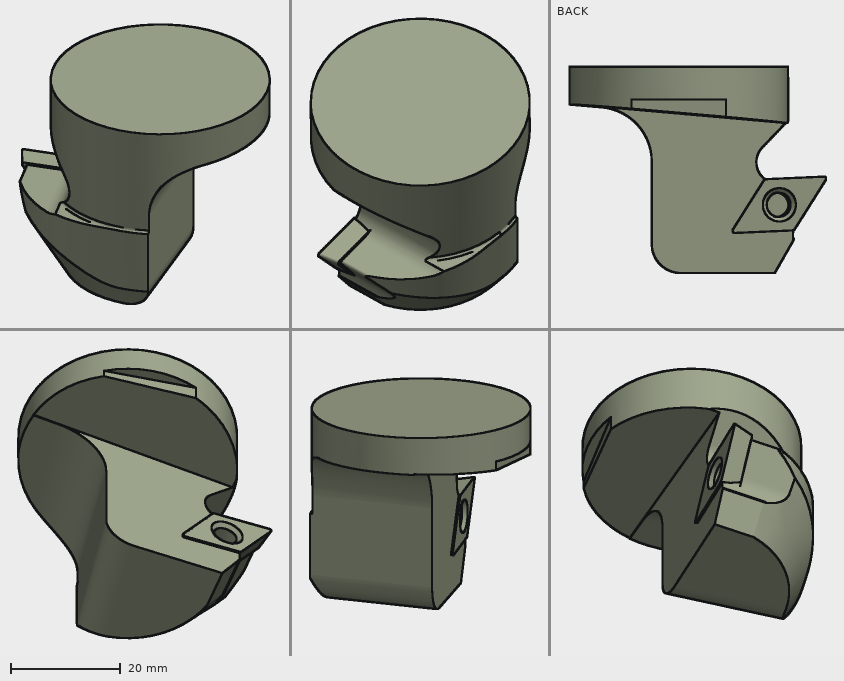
import cadquery as cq
import math

RAKE_TURN = 8.0
RELIEF_TILT = 5.0
REACH = 56.25

SHANK_RADIUS = 40.0 / 2
HEIGHT = 37.7
RAKE_V = 3.37
BACK_WALL_X = 4.95
NECK_RADIUS = 9.85
TOE_RADIUS = 5.35
NECK_TOP_Z = -6.95
BACK_TOP_Z = -8.62
NOTCH_Y = 18.05
NOTCH_Z = -6.0

JAW_TOP_Z = -20.85
JAW_RADIUS = 20.5
NOSE_X = -5.62
SEAT_EDGE_FILLET = 0.4
STEP_FILLET = JAW_RADIUS - SHANK_RADIUS
CONE_ANGLE = 30.0
TOE_CONE_RADIUS = 17.75
TOE_FLANK_U = -17.2

GULLET_RADIUS = 3.85
GULLET_U = -17.65
GULLET_Z = -17.45
GULLET_ANGLE = 44.0
SEAT_TILT = 2.4

FLANK_U = -25.2
FLANK_Z = -21.1
GROOVE_TOP_Z = -27.75
GROOVE_END_U = -20.6
GROOVE_END_Z = -31.5

INSERT_TIP_U = -27.0
INSERT_TIP_Z = -20.0
INSERT_SIDE = 11.7
INSERT_ANGLE = 55.0
INSERT_TILT = 2.5
INSERT_THICKNESS = 3.9
INSERT_CLEARANCE = 7.0
INSERT_CORNER = 0.4
INSERT_PROUD = 0.35
SCREW_HOLE = 4.4
SCREW_SINK = 6.1


def polar(length, degrees):
    angle = math.radians(degrees)
    return length * math.cos(angle), length * math.sin(angle)


def shifted(point, length, degrees):
    du, dz = polar(length, degrees)
    return point[0] + du, point[1] + dz


def turned(body):
    """Turn a body from the rake frame into place."""
    return body.rotate((0, 0, 0), (0, 0, 1), RAKE_TURN)


def through(sketch):
    """Extrude an XZ outline both ways, right through the head."""
    return sketch.extrude(REACH, both=True)


def make_shank():
    shank = cq.Workplane("XY").workplane(offset=JAW_TOP_Z).circle(SHANK_RADIUS).extrude(-JAW_TOP_Z)
    step = (
        cq.Workplane("XZ")
        .moveTo(0, JAW_TOP_Z)
        .lineTo(JAW_RADIUS, JAW_TOP_Z)
        .radiusArc((SHANK_RADIUS, JAW_TOP_Z + STEP_FILLET), STEP_FILLET)
        .lineTo(0, JAW_TOP_Z + STEP_FILLET)
        .close()
        .revolve(360, (0, 0), (0, 1))
    )
    return shank.union(step)


def front_flank():
    """Space outside the plane flank that cuts across the cone."""
    foot = (TOE_FLANK_U, -HEIGHT)
    return turned(through(
        cq.Workplane("XZ")
        .moveTo(*shifted(foot, REACH, -90 + CONE_ANGLE))
        .lineTo(*shifted(foot, REACH, 90 + CONE_ANGLE))
        .lineTo(-REACH, -REACH)
        .close()
    ))


def make_jaw():
    diagonal = math.sqrt(0.5)
    wall = (
        cq.Workplane("XY")
        .workplane(offset=-HEIGHT)
        .moveTo(NOSE_X - JAW_RADIUS, JAW_RADIUS)
        .lineTo(NOSE_X - JAW_RADIUS, 0)
        .threePointArc(
            (NOSE_X - JAW_RADIUS * diagonal, -JAW_RADIUS * diagonal), (NOSE_X, -JAW_RADIUS)
        )
        .lineTo(0, -JAW_RADIUS)
        .threePointArc((JAW_RADIUS * diagonal, -JAW_RADIUS * diagonal), (JAW_RADIUS, 0))
        .lineTo(JAW_RADIUS, JAW_RADIUS)
        .close()
        .extrude(HEIGHT + JAW_TOP_Z)
    )
    rise = HEIGHT + JAW_TOP_Z
    spread = rise * math.tan(math.radians(CONE_ANGLE))
    cone = cq.Workplane(
        cq.Solid.makeCone(TOE_CONE_RADIUS, TOE_CONE_RADIUS + spread, rise, cq.Vector(0, 0, -HEIGHT))
    )
    return wall.intersect(cone).cut(front_flank())


def back_clearance():
    """Space on the +X side: rounded toe, upright wall, rounded neck and tilted underside."""
    slope = math.tan(math.radians(RELIEF_TILT))
    neck_x = BACK_WALL_X + NECK_RADIUS
    neck_z = (
        NECK_TOP_Z + slope * (neck_x - SHANK_RADIUS) - NECK_RADIUS / math.cos(math.radians(RELIEF_TILT))
    )
    neck_end = shifted((neck_x, neck_z), NECK_RADIUS, 90 + RELIEF_TILT)
    toe_x = BACK_WALL_X - TOE_RADIUS
    return through(
        cq.Workplane("XZ")
        .moveTo(BACK_WALL_X, neck_z)
        .threePointArc(shifted((neck_x, neck_z), NECK_RADIUS, 135), neck_end)
        .lineTo(*shifted(neck_end, REACH, RELIEF_TILT))
        .lineTo(REACH, -REACH)
        .lineTo(toe_x, -REACH)
        .lineTo(toe_x, -HEIGHT)
        .threePointArc(
            shifted((toe_x, TOE_RADIUS - HEIGHT), TOE_RADIUS, -45), (BACK_WALL_X, TOE_RADIUS - HEIGHT)
        )
        .close()
    )


def rake_clearance():
    """Space in front of the rake face, below the tilted underside."""
    rise = REACH * math.tan(math.radians(RELIEF_TILT))
    outline = (
        cq.Workplane("XZ", origin=(0, RAKE_V, 0))
        .moveTo(-REACH, BACK_TOP_Z - rise)
        .lineTo(REACH, BACK_TOP_Z + rise)
        .lineTo(REACH, -REACH)
        .lineTo(-REACH, -REACH)
        .close()
    )
    return turned(outline.extrude(-REACH))


def rim_notch():
    return cq.Workplane("XY").box(REACH, REACH, REACH, centered=(True, False, False)).translate(
        (0, NOTCH_Y, NOTCH_Z - REACH)
    )


def gullet():
    center = (GULLET_U, GULLET_Z)
    seat_end = shifted(center, GULLET_RADIUS, -90 - SEAT_TILT)
    slope_end = shifted(center, GULLET_RADIUS, GULLET_ANGLE)
    return turned(through(
        cq.Workplane("XZ")
        .moveTo(*shifted(seat_end, REACH, 180 - SEAT_TILT))
        .lineTo(*seat_end)
        .threePointArc(shifted(center, GULLET_RADIUS, -GULLET_ANGLE / 2), slope_end)
        .lineTo(*shifted(slope_end, REACH, 90 + GULLET_ANGLE))
        .close()
    ))


def flank_recess():
    """Set-back flank below the insert, ending in a round groove."""
    groove_u = FLANK_U + (FLANK_Z - GROOVE_TOP_Z) * math.tan(math.radians(CONE_ANGLE))
    groove_top = (groove_u, GROOVE_TOP_Z)
    return turned(through(
        cq.Workplane("XZ")
        .moveTo(*shifted(groove_top, REACH, 90 + CONE_ANGLE))
        .lineTo(*groove_top)
        .tangentArcPoint((GROOVE_END_U, GROOVE_END_Z), relative=False)
        .lineTo(-REACH, GROOVE_END_Z)
        .close()
    ))


INSERT_TIP = (INSERT_TIP_U, INSERT_TIP_Z)
INSERT_TOP_END = shifted(INSERT_TIP, INSERT_SIDE, -INSERT_TILT)
INSERT_LOW_END = shifted(INSERT_TIP, INSERT_SIDE, -INSERT_TILT - INSERT_ANGLE)
INSERT_FAR_END = shifted(INSERT_LOW_END, INSERT_SIDE, -INSERT_TILT)
INSERT_PLANE = cq.Workplane("XZ", origin=(0, RAKE_V + INSERT_PROUD, 0))


def insert_blank():
    rhombus = [INSERT_TIP, INSERT_TOP_END, INSERT_FAR_END, INSERT_LOW_END]
    blank = INSERT_PLANE.polyline(rhombus).close().extrude(INSERT_THICKNESS, taper=INSERT_CLEARANCE)
    side_edges = blank.edges("not #Y")
    return side_edges.fillet(INSERT_CORNER)


def insert_hole():
    center = ((INSERT_TIP[0] + INSERT_FAR_END[0]) / 2, (INSERT_TIP[1] + INSERT_FAR_END[1]) / 2)
    hole = INSERT_PLANE.center(*center).circle(SCREW_HOLE / 2).extrude(INSERT_THICKNESS)
    sink = INSERT_PLANE.center(*center).circle(SCREW_SINK / 2).extrude(
        (SCREW_SINK - SCREW_HOLE) / 2, taper=45
    )
    return hole.union(sink)


def make_insert():
    return turned(insert_blank().cut(insert_hole()))


def make_head():
    head = make_shank().union(make_jaw())
    for cutter in (back_clearance(), rake_clearance(), rim_notch(), gullet(), flank_recess()):
        head = head.cut(cutter)
    edge_x, edge_y = polar(FLANK_U, RAKE_TURN)
    seat_edge = cq.selectors.NearestToPointSelector((edge_x, edge_y, FLANK_Z))
    head = head.edges(seat_edge).fillet(SEAT_EDGE_FILLET)
    return head.cut(turned(insert_blank()))


insert = make_insert()
head = make_head()
result = cq.Compound.makeCompound([head.solids().val(), insert.solids().val()])